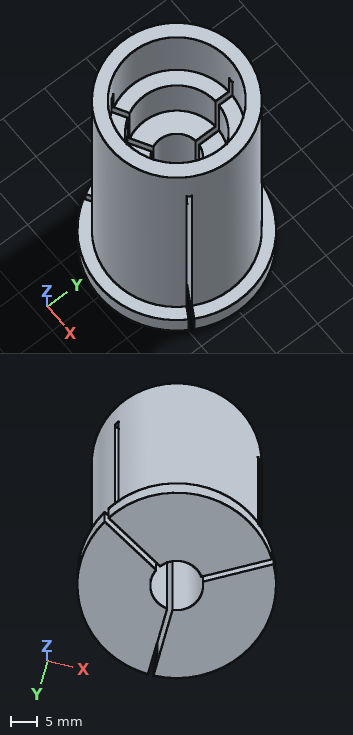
import cadquery as cq

total_height = 64.6
flange_radius = 18.75
flange_height = 5.0
body_radius = 16.0

socket_radius = 13.0
socket_depth = 15.0
recess_radius = 9.75
recess_depth = 11.6
bore_radius = 5.0

slot_count = 3
slot_width = 1.05
slot_height = 55.6
first_slot_angle = 90.0


def cylinder(radius, bottom, top):
    return cq.Workplane("XY").workplane(offset=bottom).circle(radius).extrude(top - bottom)


def radial_slot(angle):
    """Slot open at the base, running from the axis out past the flange rim."""
    slot_length = flange_radius + slot_width
    slot = cq.Workplane("XY").box(slot_length, slot_width, slot_height, centered=(False, True, False))
    return slot.rotate((0, 0, 0), (0, 0, 1), angle)


result = cylinder(body_radius, 0, total_height).union(cylinder(flange_radius, 0, flange_height))

socket_floor = total_height - socket_depth
recess_floor = socket_floor - recess_depth
result = result.cut(cylinder(bore_radius, 0, total_height))
result = result.cut(cylinder(recess_radius, recess_floor, total_height))
result = result.cut(cylinder(socket_radius, socket_floor, total_height))

for index in range(slot_count):
    result = result.cut(radial_slot(first_slot_angle + index * 360 / slot_count))